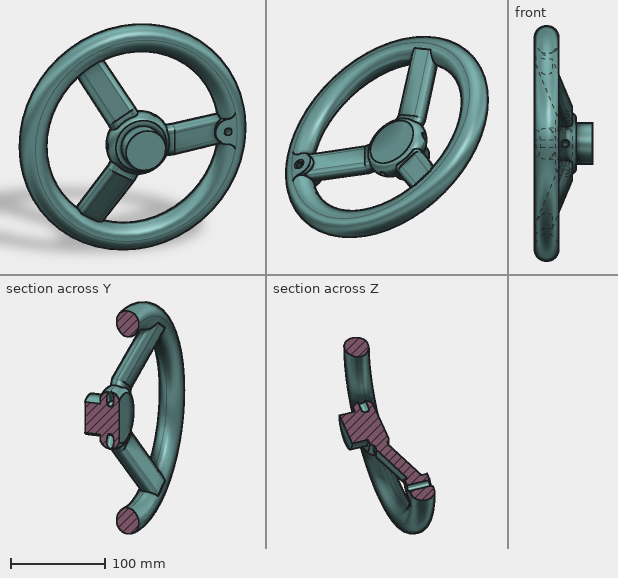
import cadquery as cq
import math

wheel_radius = 125.0
overall_length = 62.0

rim_width = 26.0
rim_inner_radius = 95.8
rim_half_width = rim_width / 2
crest_radius = wheel_radius - rim_half_width

hub_face_x = 22.5
hub_middle_x = 33.0
hub_end_x = 44.5
hub_radius = 34.8
hub_face_radius = 27.0
hub_end_radius = 28.0
boss_diameter = 44.0

screw_hole_diameter = 8.0
screw_hole_depth = 15.0
drill_point_angle = 118.0

spoke_count = 3
spoke_hub_width = 34.0
spoke_rim_width = 32.8
spoke_thickness = 15.0
spoke_side_radius = 7.2
spoke_start_radius = 22.5
spoke_bend_radius = 37.2
spoke_end_radius = 104.5
spoke_slope = 20.0

pad_center_y = 102.2
pad_radius = 14.0
pad_depth = rim_width
pad_flare_half_width = 20.0
pad_flare_bow = 1.0
handle_hole_diameter = 8.0
handle_hole_chamfer = 1.5


def revolve_about_x(profile):
    return profile.close().revolve(360, (0, 0, 0), (1, 0, 0))


def inner_rim_point(degrees):
    """Point on the rim's inner half ellipse, from the back crest (0) to the front crest (180)."""
    angle = math.radians(degrees)
    return (
        rim_half_width * (1 + math.cos(angle)),
        crest_radius - (crest_radius - rim_inner_radius) * math.sin(angle),
    )


def make_rim():
    back_quarter = [inner_rim_point(degrees) for degrees in (30, 60, 90)]
    front_quarter = [inner_rim_point(degrees) for degrees in (120, 150, 180)]
    inward = (0, -1)
    forward = (-1, 0)
    outward = (0, 1)
    tube = (
        cq.Workplane("XY")
        .moveTo(0, crest_radius)
        .threePointArc((rim_half_width, wheel_radius), (rim_width, crest_radius))
        .spline(back_quarter, tangents=[inward, forward], includeCurrent=True)
        .spline(front_quarter, tangents=[forward, outward], includeCurrent=True)
    )
    return revolve_about_x(tube)


def make_hub():
    front_shoulder = shoulder_arc_middle(hub_face_x, hub_face_radius)
    end_shoulder = shoulder_arc_middle(hub_end_x, hub_end_radius)
    hub = (
        cq.Workplane("XY")
        .moveTo(hub_face_x, 0)
        .lineTo(hub_face_x, hub_face_radius)
        .threePointArc(front_shoulder, (hub_middle_x, hub_radius))
        .threePointArc(end_shoulder, (hub_end_x, hub_end_radius))
        .lineTo(hub_end_x, 0)
    )
    return revolve_about_x(hub)


def shoulder_arc_middle(edge_x, edge_radius):
    """Point on the arc that leaves the hub's middle along X and ends at the given edge."""
    length = edge_x - hub_middle_x
    drop = hub_radius - edge_radius
    arc_radius = (length**2 + drop**2) / (2 * drop)
    half_turn = math.atan2(drop, abs(length))
    x = hub_middle_x + math.copysign(arc_radius * math.sin(half_turn), length)
    return (x, hub_radius - arc_radius * (1 - math.cos(half_turn)))


def make_boss():
    return (
        cq.Workplane("YZ")
        .workplane(offset=hub_middle_x)
        .circle(boss_diameter / 2)
        .extrude(overall_length - hub_middle_x)
    )


def make_spoke():
    """Spoke along +Y: level at the hub, then sloping forward to the rim."""
    drop = (spoke_end_radius - spoke_bend_radius) * math.tan(math.radians(spoke_slope))
    path = [
        (hub_middle_x, spoke_start_radius),
        (hub_middle_x, spoke_bend_radius),
        (hub_middle_x - drop, spoke_end_radius),
    ]
    level_half = spoke_thickness / 2
    sloped_half = level_half / math.cos(math.radians(spoke_slope))
    bend_shift = level_half * math.tan(math.radians(spoke_slope / 2))
    (start_x, start_y), (bend_x, bend_y), (end_x, end_y) = path
    side = [
        (start_x + level_half, start_y),
        (bend_x + level_half, bend_y + bend_shift),
        (end_x + sloped_half, end_y),
        (end_x - sloped_half, end_y),
        (bend_x - level_half, bend_y - bend_shift),
        (start_x - level_half, start_y),
    ]
    bar = cq.Workplane("XY").polyline(side).close().extrude(spoke_hub_width / 2, both=True)
    plan = [
        (spoke_start_radius, spoke_hub_width / 2),
        (spoke_end_radius, spoke_rim_width / 2),
        (spoke_end_radius, -spoke_rim_width / 2),
        (spoke_start_radius, -spoke_hub_width / 2),
    ]
    outline = cq.Workplane("YZ").polyline(plan).close().extrude(wheel_radius, both=True)
    bar = bar.intersect(outline)
    long_edges = bar.edges().filter(lambda edge: abs(edge.tangentAt(0.5).y) > 0.5)
    return long_edges.fillet(spoke_side_radius)


def make_pad():
    """Round eye blended into the rim crest by a concave flare on each side."""
    flare_y = math.sqrt(crest_radius**2 - pad_flare_half_width**2)
    flare_middle_y = (flare_y + pad_center_y) / 2 + pad_flare_bow
    flare_middle_z = (pad_flare_half_width + pad_radius) / 2 - pad_flare_bow
    return (
        cq.Workplane("YZ")
        .moveTo(flare_y, pad_flare_half_width)
        .threePointArc((flare_middle_y, flare_middle_z), (pad_center_y, pad_radius))
        .threePointArc((pad_center_y - pad_radius, 0), (pad_center_y, -pad_radius))
        .threePointArc((flare_middle_y, -flare_middle_z), (flare_y, -pad_flare_half_width))
        .threePointArc((crest_radius, 0), (flare_y, pad_flare_half_width))
        .close()
        .extrude(pad_depth)
    )


def make_handle_hole():
    hole_radius = handle_hole_diameter / 2
    pad_face = cq.Workplane("YZ").center(pad_center_y, 0)
    bore = pad_face.circle(hole_radius).extrude(pad_depth)
    countersink = pad_face.circle(hole_radius + handle_hole_chamfer).extrude(handle_hole_chamfer, taper=45)
    return bore.union(countersink)


def make_screw_hole():
    """Blind drilled hole with a conical bottom, entering the hub from -Y."""
    hole_radius = screw_hole_diameter / 2
    floor_y = -(hub_radius - screw_hole_depth)
    tip_y = floor_y + hole_radius / math.tan(math.radians(drill_point_angle / 2))
    half_section = [
        (hub_middle_x, tip_y),
        (hub_middle_x + hole_radius, floor_y),
        (hub_middle_x + hole_radius, -hub_radius),
        (hub_middle_x, -hub_radius),
    ]
    return (
        cq.Workplane("XY")
        .polyline(half_section)
        .close()
        .revolve(360, (hub_middle_x, 0, 0), (hub_middle_x, 1, 0))
    )


def around_axis(body, index):
    return body.rotate((0, 0, 0), (1, 0, 0), index * 360 / spoke_count)


result = make_rim().union(make_hub()).union(make_boss())

spoke = make_spoke()
for index in range(spoke_count):
    result = result.union(around_axis(spoke, index))

result = result.union(make_pad()).cut(make_handle_hole())

screw_hole = make_screw_hole()
for index in range(spoke_count):
    result = result.cut(around_axis(screw_hole, index))